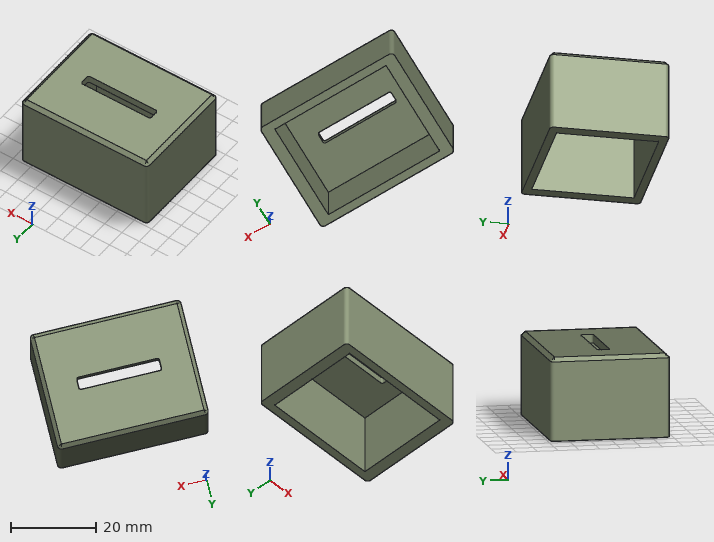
import cadquery as cq

length = 36.5
width = 28.5
height = 20.0
corner_radius = 1.0
top_chamfer = 1.0

end_wall = 3.0
side_wall = 2.0
roof_thickness = 2.0

slot_length = 20.0
slot_width = 3.0
slot_corner_radius = 0.5


def rounded_prism(size_x, size_y, radius):
    """Full-height upright prism with rounded vertical edges, standing on Z = 0."""
    prism = cq.Workplane("XY").rect(size_x, size_y).extrude(height)
    return prism.edges("|Z").fillet(radius)


block = rounded_prism(length, width, corner_radius)
block = block.faces(">Z").edges().chamfer(top_chamfer)

slot = rounded_prism(slot_length, slot_width, slot_corner_radius)

cavity_length = length - 2 * end_wall
cavity_width = width - 2 * side_wall
cavity_height = height - roof_thickness
cavity = cq.Workplane("XY").rect(cavity_length, cavity_width).extrude(cavity_height)

result = block.cut(cavity).cut(slot)